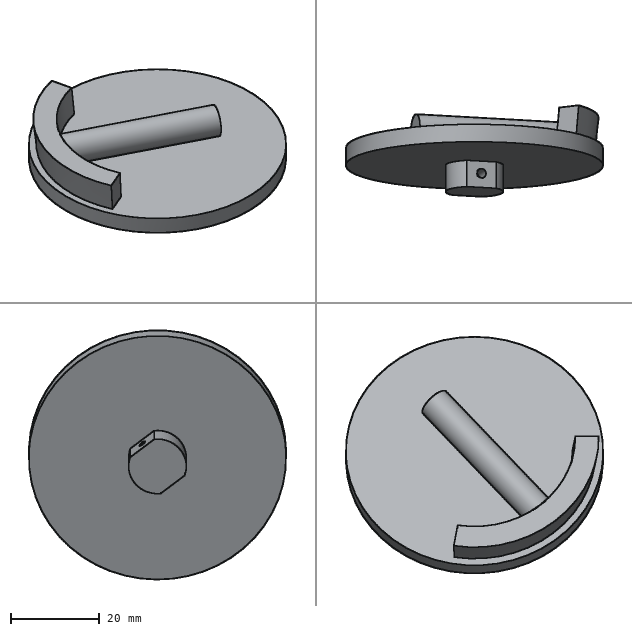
import cadquery as cq

disc_diameter = 58
disc_thickness = 4.0

stem_diameter = 13.0
stem_length = 6.05
stem_across_flats = 11.0

wide_hole_diameter = 2.1
narrow_hole_diameter = 1.6
hole_depth_below_disc = 2.8

wall_height = 6.95
wall_outer_radius = 28.0
wall_inner_radius = 22.75
wall_lean = 0.7
wall_angle = 100

bar_diameter = 7.25
bar_far_end = 13.9
bar_wall_overlap = 1.75

wall_top = disc_thickness + wall_height


def make_disc():
    return cq.Workplane("XY").circle(disc_diameter / 2).extrude(disc_thickness)


def make_stem():
    stem = cq.Workplane("XY").circle(stem_diameter / 2).extrude(-stem_length)
    flats = cq.Workplane("XY").rect(stem_across_flats, stem_diameter).extrude(-stem_length)
    stem = stem.intersect(flats)
    hole_plane = cq.Workplane("YZ").center(0, -hole_depth_below_disc)
    wide_hole = hole_plane.circle(wide_hole_diameter / 2).extrude(-stem_diameter / 2)
    narrow_hole = hole_plane.circle(narrow_hole_diameter / 2).extrude(stem_diameter / 2)
    return stem.cut(wide_hole).cut(narrow_hole)


def make_wall():
    return (
        cq.Workplane("XZ")
        .moveTo(wall_inner_radius - wall_lean, disc_thickness)
        .lineTo(wall_outer_radius - wall_lean, disc_thickness)
        .lineTo(wall_outer_radius, wall_top)
        .lineTo(wall_inner_radius, wall_top)
        .close()
        .revolve(wall_angle, (0, 0), (0, 1))
        .rotate((0, 0, 0), (0, 0, 1), -90 - wall_angle / 2)
    )


def make_bar():
    bar_length = bar_far_end + wall_inner_radius + bar_wall_overlap
    return (
        cq.Workplane("XZ", origin=(0, bar_far_end, wall_top - bar_diameter / 2))
        .circle(bar_diameter / 2)
        .extrude(bar_length)
    )


result = make_disc().union(make_stem()).union(make_wall()).union(make_bar())